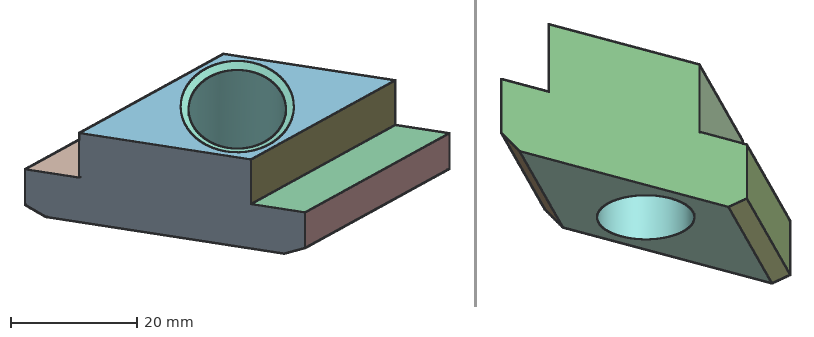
import cadquery as cq

width = 32.0
length = 59.7
height = 24.0

base_height = height / 2
neck_width = 19.65
bottom_chamfer = 2.4

hole_diameter = 15.45
countersink_diameter = 18.0
countersink_angle = 120.0


def t_section_body():
    """T profile in the XZ plane, extruded along the full length in Y."""
    half_width = width / 2
    half_neck = neck_width / 2
    return (
        cq.Workplane("XZ")
        .moveTo(-half_width + bottom_chamfer, 0)
        .lineTo(half_width - bottom_chamfer, 0)
        .lineTo(half_width, bottom_chamfer)
        .lineTo(half_width, base_height)
        .lineTo(half_neck, base_height)
        .lineTo(half_neck, height)
        .lineTo(-half_neck, height)
        .lineTo(-half_neck, base_height)
        .lineTo(-half_width, base_height)
        .lineTo(-half_width, bottom_chamfer)
        .close()
        .extrude(length / 2, both=True)
    )


def slanted_outline():
    """Parallelogram prism whose end faces run at 45 degrees to the X axis."""
    half_width = width / 2
    half_length = length / 2
    side_length = length - width
    return (
        cq.Workplane("XY")
        .moveTo(-half_width, -half_length)
        .lineTo(half_width, half_length - side_length)
        .lineTo(half_width, half_length)
        .lineTo(-half_width, -half_length + side_length)
        .close()
        .extrude(height)
    )


body = t_section_body().intersect(slanted_outline())

result = (
    body.faces(">Z")
    .workplane(origin=(0, 0, height))
    .cskHole(hole_diameter, countersink_diameter, countersink_angle)
)